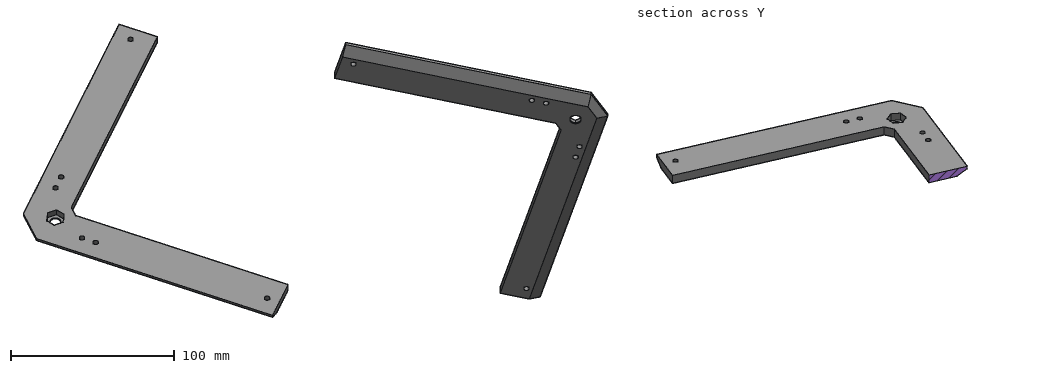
import cadquery as cq

arm_length = 170.0
arm_width = 25.3
thickness = 6.0
outer_corner_cut = 14.6
inner_corner_cut = 4.8

rim_height = 3.9
bevel_width = 7.0

screw_diameter = 3.2
screw_inset = 10.9
screw_stations = (40.1, 49.1, 162.0)

bolt_diameter = 6.8
nut_corner_diameter = 11.7
nut_pocket_depth = 5.0
bolt_center = 19.2
nut_rotation = 45.0


def make_plate():
    inner_cut_end = arm_width + inner_corner_cut
    return (
        cq.Workplane("XY")
        .moveTo(outer_corner_cut, 0)
        .lineTo(arm_length, 0)
        .lineTo(arm_length, arm_width)
        .lineTo(inner_cut_end, arm_width)
        .lineTo(arm_width, inner_cut_end)
        .lineTo(arm_width, arm_length)
        .lineTo(0, arm_length)
        .lineTo(0, outer_corner_cut)
        .close()
        .extrude(thickness)
    )


def make_support():
    """Solid whose slanted outer sides bound the underside of the plate."""
    def section(inset):
        return [
            (outer_corner_cut, inset),
            (arm_length, inset),
            (arm_length, arm_length),
            (inset, arm_length),
            (inset, outer_corner_cut),
        ]

    sloped = (
        cq.Workplane("XY").polyline(section(bevel_width)).close()
        .workplane(offset=rim_height).polyline(section(0)).close()
        .loft(ruled=True)
    )
    rim = (
        cq.Workplane("XY").workplane(offset=rim_height)
        .polyline(section(0)).close().extrude(thickness - rim_height)
    )
    return sloped.union(rim)


def make_screw_holes():
    places = []
    for station in screw_stations:
        places.append((station, screw_inset))
        places.append((screw_inset, station))
    return cq.Workplane("XY").pushPoints(places).circle(screw_diameter / 2).extrude(thickness)


def make_bolt_seat():
    hole = cq.Workplane("XY").circle(bolt_diameter / 2).extrude(thickness)
    pocket = (
        cq.Workplane("XY").workplane(offset=thickness - nut_pocket_depth)
        .polygon(6, nut_corner_diameter).extrude(nut_pocket_depth)
        .rotate((0, 0, 0), (0, 0, 1), nut_rotation)
    )
    return hole.union(pocket).translate((bolt_center, bolt_center, 0))


result = (
    make_plate()
    .intersect(make_support())
    .cut(make_screw_holes())
    .cut(make_bolt_seat())
)